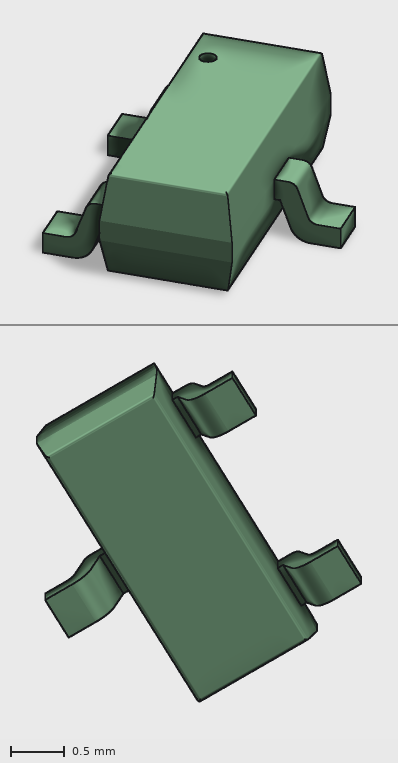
import cadquery as cq
import math

BODY_LENGTH = 2.9
BODY_WIDTH = 1.3
BODY_TOP = 1.1
BODY_BOTTOM = 0.05
UPPER_DRAFT = 8.0
LOWER_DRAFT = 10.0
EDGE_RADIUS = 0.032

MARK_DIAMETER = 0.162
MARK_DEPTH = 0.145
MARK_X = -0.39

SPAN = 2.6
LEAD_THICKNESS = 0.212
LEAD_WIDTH = 0.425
LEAD_PITCH_OFFSET = 0.95
SHOULDER_TOP = 0.62
SHOULDER_LENGTH = 0.205
LEG_ANGLE = 20.0
BEND_RADIUS = 0.1
HEEL_RADIUS = 0.212

BAND_TOP = SHOULDER_TOP
BAND_BOTTOM = SHOULDER_TOP - LEAD_THICKNESS


def tapered_block(height, draft):
    """Block that rises from the XY plane and narrows with height."""
    return cq.Workplane("XY").rect(BODY_WIDTH, BODY_LENGTH).extrude(height, taper=draft)


def make_body():
    upper = tapered_block(BODY_TOP - BAND_TOP, UPPER_DRAFT).faces(">Z").edges().fillet(EDGE_RADIUS)
    upper = upper.translate((0, 0, BAND_TOP))

    lower = tapered_block(BAND_BOTTOM - BODY_BOTTOM, LOWER_DRAFT).faces(">Z").edges().fillet(EDGE_RADIUS)
    lower = lower.mirror("XY").translate((0, 0, BAND_BOTTOM))

    band = (
        cq.Workplane("XY", origin=(0, 0, BAND_BOTTOM))
        .rect(BODY_WIDTH, BODY_LENGTH)
        .extrude(BAND_TOP - BAND_BOTTOM)
    )
    mark = (
        cq.Workplane("XY", origin=(MARK_X, LEAD_PITCH_OFFSET, BODY_TOP - MARK_DEPTH))
        .circle(MARK_DIAMETER / 2)
        .extrude(MARK_DEPTH)
    )
    return band.union(upper).union(lower).cut(mark)


def make_lead(y_center):
    """Lead on the +X side, ending flush against the side of the body."""
    body_face = BODY_WIDTH / 2
    tip = SPAN / 2
    foot_top = LEAD_THICKNESS
    corner_shift = LEAD_THICKNESS * math.tan(math.radians(90 - LEG_ANGLE) / 2)
    leg_run = (SHOULDER_TOP - foot_top) * math.tan(math.radians(LEG_ANGLE))

    shoulder_corner = (body_face + SHOULDER_LENGTH, SHOULDER_TOP)
    instep_corner = (shoulder_corner[0] + leg_run, foot_top)
    heel_corner = (instep_corner[0] - corner_shift, 0)
    armpit_corner = (shoulder_corner[0] - corner_shift, BAND_BOTTOM)

    outline = [
        (body_face, SHOULDER_TOP),
        shoulder_corner,
        instep_corner,
        (tip, foot_top),
        (tip, 0),
        heel_corner,
        armpit_corner,
        (body_face, BAND_BOTTOM),
    ]
    lead = (
        cq.Workplane("XZ", origin=(0, y_center, 0))
        .polyline(outline)
        .close()
        .extrude(LEAD_WIDTH / 2, both=True)
    )
    bends = [
        (shoulder_corner, BEND_RADIUS),
        (instep_corner, BEND_RADIUS),
        (heel_corner, HEEL_RADIUS),
    ]
    for (x, z), radius in bends:
        bend_edge = cq.selectors.NearestToPointSelector((x, y_center, z))
        lead = lead.edges("|Y").edges(bend_edge).fillet(radius)
    return lead


body = make_body()

leads = [make_lead(0)]
for y in (-LEAD_PITCH_OFFSET, LEAD_PITCH_OFFSET):
    leads.append(make_lead(-y).rotate((0, 0, 0), (0, 0, 1), 180))

result = cq.Compound.makeCompound([body.val(), *[lead.val() for lead in leads]])